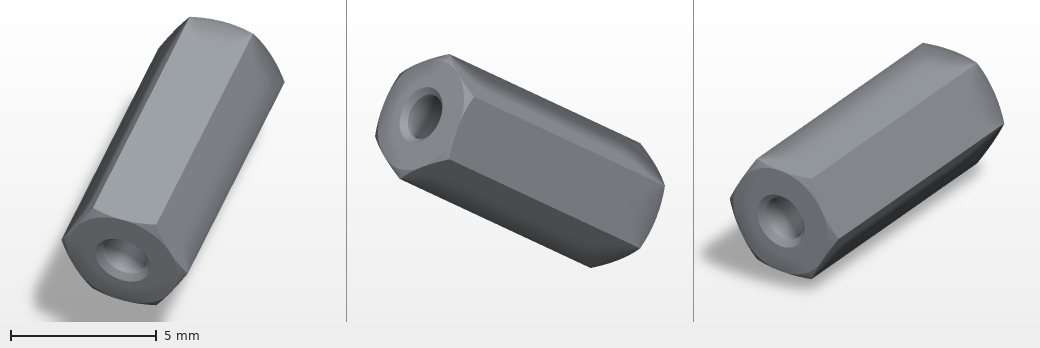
import cadquery as cq
import math

length = 10.0
across_flats = 4.0
bore_diameter = 1.6
countersink_diameter = 2.0
countersink_angle = 90.0
corner_chamfer_angle = 30.0

half_length = length / 2
flat_radius = across_flats / 2
corner_radius = flat_radius / math.cos(math.radians(30))


def revolve_about_y(profile):
    """Turn a closed list of (radius, y) points into a solid around the Y axis."""
    return cq.Workplane("XY").polyline(profile).close().revolve(360, (0, 0, 0), (0, 1, 0))


def hexagonal_bar():
    return (
        cq.Workplane("XZ")
        .polygon(6, 2 * corner_radius)
        .extrude(half_length, both=True)
    )


def chamfer_envelope():
    """Round body whose conical ends start at the circle touching the flats."""
    outer_radius = 2 * corner_radius
    cone_height = (outer_radius - flat_radius) * math.tan(math.radians(corner_chamfer_angle))
    shoulder = half_length - cone_height
    return revolve_about_y([
        (0, -half_length),
        (flat_radius, -half_length),
        (outer_radius, -shoulder),
        (outer_radius, shoulder),
        (flat_radius, half_length),
        (0, half_length),
    ])


def countersunk_bore():
    """Through bore that widens into a cone at both ends."""
    bore_radius = bore_diameter / 2
    mouth_radius = countersink_diameter / 2
    depth = (mouth_radius - bore_radius) / math.tan(math.radians(countersink_angle / 2))
    return revolve_about_y([
        (0, -half_length),
        (mouth_radius, -half_length),
        (bore_radius, depth - half_length),
        (bore_radius, half_length - depth),
        (mouth_radius, half_length),
        (0, half_length),
    ])


result = hexagonal_bar().intersect(chamfer_envelope()).cut(countersunk_bore())